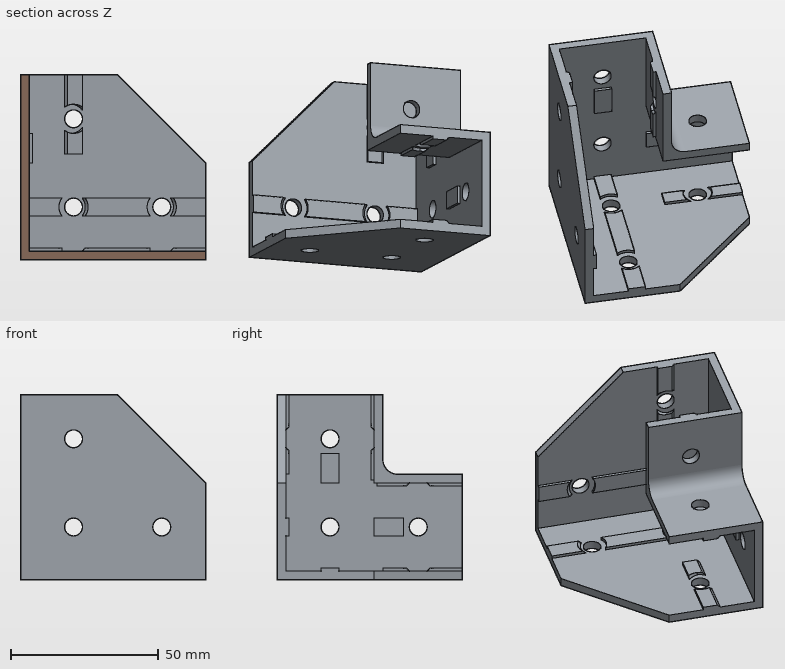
import cadquery as cq
size = 63.0
bore = 30.0
wall = bore / 10
inner = wall + bore
arm = inner + wall
notch_radius = 5.0

hole_diameter = 6.0
near = wall + bore / 2
far = (inner + size) / 2
hole_centres = [(near, near), (far, near), (near, far)]

key_width = 6.0
key_height = 1.0
key_low = near - key_width / 2
key_high = near + key_width / 2
key_base = wall + key_height
relief_radius = 5.0
outer_key_start = arm
closing_key_start = inner + key_height


def block(x0, x1, y0, y1, z0, z1):
    """Box between two opposite corners."""
    return cq.Workplane("XY").box(x1 - x0, y1 - y0, z1 - z0, centered=False).translate((x0, y0, z0))


def gusset_wall(plane, depth):
    """Square wall on one outer face with its far corner cut at 45 degrees."""
    outline = [(0, 0), (size, 0), (size, inner), (inner, size), (0, size)]
    return cq.Workplane(plane).polyline(outline).close().extrude(depth)


def corner_shell():
    """Floor, front and end walls of the corner plus the walls that close the Y and Z arms."""
    outline = [(0, 0), (size, 0), (size, arm), (arm, arm), (arm, size), (0, size)]
    arms = cq.Workplane("YZ").polyline(outline).close().extrude(inner)
    notch_corner = cq.selectors.NearestToPointSelector((inner / 2, arm, arm))
    arms = arms.edges(notch_corner).fillet(notch_radius)
    z_arm_space = block(wall, size, wall, inner, wall, size)
    y_arm_space = block(wall, size, wall, size, wall, inner)
    arms = arms.cut(z_arm_space).cut(y_arm_space)
    return arms.union(gusset_wall("XY", wall)).union(gusset_wall("XZ", -wall))


def sloped_outline(plane, face, height):
    """Key section whose -X flank rises from the wall face at 45 degrees."""
    outline = [
        (key_low, face),
        (key_low + key_height, face + height),
        (key_high, face + height),
        (key_high, face),
    ]
    return cq.Workplane(plane).polyline(outline).close()


def key_along_y(face, height, start):
    return sloped_outline("XZ", face, height).extrude(start - size).translate((0, start, 0))


def key_along_z(face, height, start):
    return sloped_outline("XY", face, height).extrude(size - start).translate((0, 0, start))


def relief(plane, centre, face, height):
    """Clear circle around a hole; its +X side leans inward at 45 degrees towards the wall."""
    u, v = centre
    base = cq.Workplane(plane).workplane(offset=face)
    straight = base.center(u, v).circle(relief_radius).extrude(height)
    leaning = (
        base.center(u - key_height, v).circle(relief_radius)
        .workplane(offset=height).center(key_height, 0).circle(relief_radius)
        .loft(ruled=True)
    )
    return straight.intersect(leaning)


def slot_keys():
    """Keys on the floor, the front wall and the two closing walls, cleared around the holes."""
    keys = block(wall, size, key_low, key_high, wall, key_base)
    keys = keys.union(block(wall, size, wall, key_base, key_low, key_high))
    keys = keys.union(key_along_y(wall, key_height, outer_key_start))
    keys = keys.union(key_along_z(wall, key_height, outer_key_start))
    keys = keys.union(key_along_y(inner, -key_height, closing_key_start))
    keys = keys.union(key_along_z(inner, -key_height, closing_key_start))
    for centre in hole_centres:
        keys = keys.cut(relief("XY", centre, wall, key_height))
        keys = keys.cut(relief("XZ", centre, -wall, -key_height))
    keys = keys.cut(relief("XY", (near, far), inner, -key_height))
    return keys.cut(relief("XZ", (near, far), -inner, key_height))


def end_wall_keys():
    """Short keys on the end wall that stop before the outer screw holes."""
    stop = far - relief_radius
    along_y = block(wall, key_base, inner, stop, key_low, key_high)
    along_z = block(wall, key_base, key_low, key_high, inner, stop)
    return along_y.union(along_z)


result = corner_shell().union(slot_keys()).union(end_wall_keys())

for plane, depth in (("XY", arm), ("XZ", -arm), ("YZ", wall)):
    holes = cq.Workplane(plane).pushPoints(hole_centres).circle(hole_diameter / 2).extrude(depth)
    result = result.cut(holes)